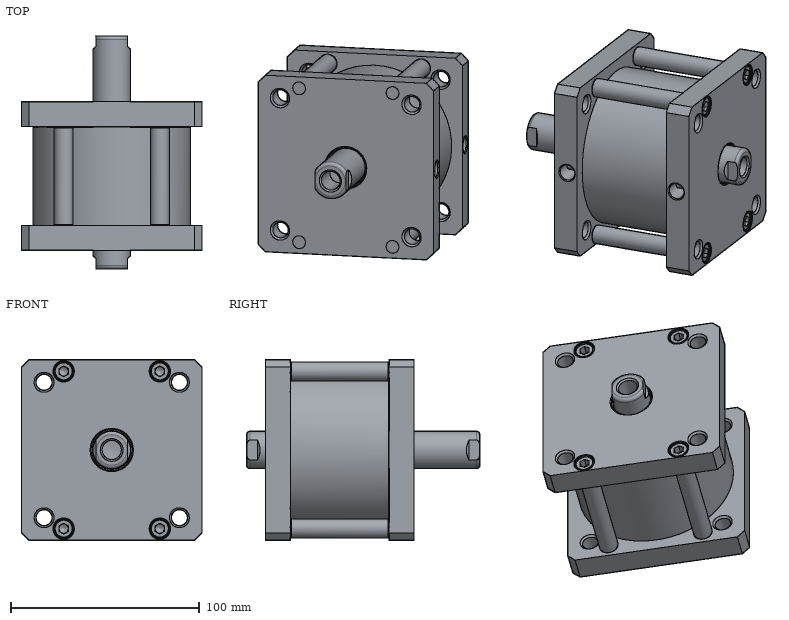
import cadquery as cq
import math

length = 124.0
front_reach = 10.0
rear_reach = 35.0
plate_thickness = 13.3
front_face = -length / 2 + front_reach
rear_face = length / 2 - rear_reach
front_inner = front_face + plate_thickness
rear_inner = rear_face - plate_thickness
rear_gap = 0.2
barrel_end = rear_inner - rear_gap

plate_width = 96.0
corner_chamfer = 4.0
mount_offset = 36.0
mount_diameter = 8.4
mount_rim_diameter = 10.5
bore_groove_diameter = 20.6
bore_groove_depth = 2.5
bore_recess_diameter = 22.0
bore_recess_depth = 1.2
bore_mouth_diameter = 23.0

port_diameter = 8.5
port_rim_diameter = 9.7
port_depth = 14.9
drill_point_angle = 118.0
port_offset = 7.5

pin_diameter = 5.0
pin_offset_x = -36.6
pin_end_wall = 1.2

barrel_diameter = 84.0
barrel_bore = 80.0

rod_diameter = 20.0
rod_end_radius = 1.9
flat_width = 17.0
flat_length = 5.7
thread_diameter = 10.2
thread_rim_diameter = 12.0
thread_depth = 19.8
thread_bottom_cone = 0.6

bolt_diameter = 10.0
bolt_shank_diameter = 7.0
bolt_head_diameter = 10.0
bolt_head_height = 6.2
bolt_head_recess = 0.6
bolt_x = 25.5
bolt_z = 41.8
bolt_seat_diameter = 10.5
bolt_seat_rim_diameter = 11.3
bolt_seat_bottom = front_face + bolt_head_recess + bolt_head_height
bolt_edge_chamfer = 0.5
socket_width = 5.0
socket_depth = 5.0


def y_disc(diameter, y_start, y_end, x=0.0, z=0.0):
    """Solid cylinder along Y."""
    return cq.Workplane(cq.Solid.makeCylinder(
        diameter / 2, y_end - y_start, cq.Vector(x, y_start, z), cq.Vector(0, 1, 0)))


def cone(start_diameter, end_diameter, height, start, direction):
    """Solid cone or frustum from a start point along a direction."""
    return cq.Workplane(cq.Solid.makeCone(
        start_diameter / 2, end_diameter / 2, height, cq.Vector(*start), cq.Vector(*direction)))


def point_height(diameter):
    """Height of the cone that a drill point leaves at the bottom of a hole."""
    return diameter / 2 / math.tan(math.radians(drill_point_angle / 2))


def rim(diameter, rim_diameter, x, y, z, inward):
    """45 degree countersink; inward is the sign of Y going into the material."""
    return cone(rim_diameter, diameter, (rim_diameter - diameter) / 2, (x, y, z), (0, inward, 0))


bolt_places = [(sx * bolt_x, sz * bolt_z) for sx in (-1, 1) for sz in (-1, 1)]
mount_places = [(sx * mount_offset, sz * mount_offset) for sx in (-1, 1) for sz in (-1, 1)]


def make_pin():
    return y_disc(pin_diameter, front_face + pin_end_wall, rear_face - pin_end_wall, pin_offset_x)


def port_cutter(y):
    """Chamfered blind hole from the -X side with a drill point."""
    side = -plate_width / 2
    rim_depth = (port_rim_diameter - port_diameter) / 2
    hole = cq.Workplane(cq.Solid.makeCylinder(
        port_diameter / 2, port_depth, cq.Vector(side, y, 0), cq.Vector(1, 0, 0)))
    tip = cone(port_diameter, 0, point_height(port_diameter), (side + port_depth, y, 0), (1, 0, 0))
    mouth = cone(port_rim_diameter, port_diameter, rim_depth, (side, y, 0), (1, 0, 0))
    return hole.union(tip).union(mouth)


def make_plate(outer, inner):
    """End plate between its outer face and its inner face, both given as Y positions."""
    inward = 1 if inner > outer else -1
    start, end = min(outer, inner), max(outer, inner)
    plate = (
        cq.Workplane("XY")
        .box(plate_width, plate_thickness, plate_width)
        .edges("|Y")
        .chamfer(corner_chamfer)
        .translate((0, (start + end) / 2, 0))
    )
    plate = plate.cut(y_disc(rod_diameter, start, end))
    for diameter, depth in (
        (bore_groove_diameter, bore_groove_depth),
        (bore_recess_diameter, bore_recess_depth),
    ):
        bottom = outer + inward * depth
        plate = plate.cut(y_disc(diameter, min(outer, bottom), max(outer, bottom)))
    plate = plate.cut(rim(bore_recess_diameter, bore_mouth_diameter, 0, outer, 0, inward))
    for x, z in mount_places:
        plate = plate.cut(y_disc(mount_diameter, start, end, x, z))
        plate = plate.cut(rim(mount_diameter, mount_rim_diameter, x, outer, z, inward))
        plate = plate.cut(rim(mount_diameter, mount_rim_diameter, x, inner, z, -inward))
    for x, z in bolt_places:
        plate = plate.cut(y_disc(bolt_shank_diameter, start, end, x, z))
    plate = plate.cut(port_cutter(outer + inward * port_offset))
    return plate.cut(make_pin())


def make_front_plate():
    """End plate with chamfered seats for the bolt heads."""
    plate = make_plate(front_face, front_inner)
    for x, z in bolt_places:
        plate = plate.cut(y_disc(bolt_seat_diameter, front_face, bolt_seat_bottom, x, z))
        plate = plate.cut(rim(bolt_seat_diameter, bolt_seat_rim_diameter, x, front_face, z, 1))
    return plate


def make_barrel():
    return y_disc(barrel_diameter, front_inner, barrel_end).cut(
        y_disc(barrel_bore, front_inner, barrel_end))


def flat_cutter(end, inward, side):
    """Wrench flat on one side of a rod end; the run-out slopes at 45 degrees to beyond the rod surface."""
    runout = rod_diameter - flat_width
    return (
        cq.Workplane("XY")
        .moveTo(side * flat_width / 2, end)
        .lineTo(side * flat_width / 2, end + inward * flat_length)
        .lineTo(side * (flat_width / 2 + runout), end + inward * (flat_length + runout))
        .lineTo(side * (flat_width / 2 + runout), end)
        .close()
        .extrude(rod_diameter / 2, both=True)
    )


def thread_hole(end, inward):
    """Chamfered blind hole in a rod end."""
    bottom = end + inward * thread_depth
    hole = y_disc(thread_diameter, min(end, bottom), max(end, bottom))
    tip = cone(thread_diameter, 0, thread_bottom_cone, (0, bottom, 0), (0, inward, 0))
    return hole.union(tip).union(rim(thread_diameter, thread_rim_diameter, 0, end, 0, inward))


def make_rod():
    rod = y_disc(rod_diameter, -length / 2, length / 2).edges("%CIRCLE").fillet(rod_end_radius)
    for end, inward in ((-length / 2, 1), (length / 2, -1)):
        for side in (-1, 1):
            rod = rod.cut(flat_cutter(end, inward, side))
        rod = rod.cut(thread_hole(end, inward))
    return rod


def make_bolt(x, z):
    """Tie bolt: socket head, shank through both plates and a thick middle between them."""
    head_face = front_face + bolt_head_recess
    head = y_disc(bolt_head_diameter, head_face, bolt_seat_bottom, x, z)
    head = head.faces("<Y").chamfer(bolt_edge_chamfer)
    shank = y_disc(bolt_shank_diameter, bolt_seat_bottom, rear_face, x, z)
    middle = y_disc(bolt_diameter, front_inner, barrel_end, x, z)
    middle = middle.faces("<Y or >Y").chamfer(bolt_edge_chamfer)
    socket = (
        cq.Workplane("XZ", origin=(x, head_face, z))
        .transformed(rotate=(0, 0, 90))
        .polygon(6, socket_width / math.cos(math.radians(30)))
        .extrude(-socket_depth)
    )
    tip = cone(socket_width, 0, point_height(socket_width), (x, head_face + socket_depth, z), (0, 1, 0))
    return head.union(shank).union(middle).cut(socket).cut(tip)


front_plate = make_front_plate()
rear_plate = make_plate(rear_face, rear_inner)
barrel = make_barrel()
rod = make_rod()
bolts = [make_bolt(x, z) for x, z in bolt_places]
pin = make_pin()

result = cq.Compound.makeCompound([
    front_plate.val(),
    rear_plate.val(),
    barrel.val(),
    rod.val(),
    *[bolt.val() for bolt in bolts],
    pin.val(),
])